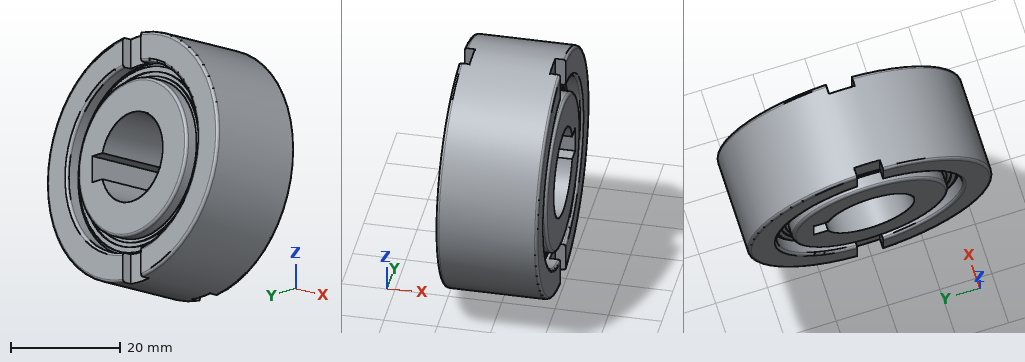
import cadquery as cq

width = 19.0
outer_radius = 23.5
edge_radius = 0.5

hub_radius = 14.95
bore_radius = 8.5
key_width = 5.0
key_reach = 10.85

recess_outer_radius = 17.9
recess_depth = 2.55
shield_outer_radius = 17.45
groove_outer_radius = 16.4
groove_inner_radius = 15.55
groove_depth = 0.25

slot_width = 5.0
slot_depth = 1.97

END_SIDES = (-1, 1)


def cylinder(radius):
    """Full-width cylinder centred on the origin."""
    return cq.Workplane("YZ", origin=(-width / 2, 0, 0)).circle(radius).extrude(width)


def annulus(outer, inner, length, side, start_depth=0.0):
    """Ring going inward from start_depth below the chosen end face."""
    start = side * (width / 2 - start_depth)
    return (
        cq.Workplane("YZ", origin=(start, 0, 0))
        .circle(outer)
        .circle(inner)
        .extrude(-side * length)
    )


def ring_body():
    """Solid ring with an annular recess in each end and rounded rims."""
    body = cylinder(outer_radius)
    for side in END_SIDES:
        body = body.cut(annulus(recess_outer_radius, hub_radius, recess_depth, side))
    return body.faces("<X or >X").edges().fillet(edge_radius)


def cut_shield_grooves(body):
    """Two shallow grooves in each shield, leaving a raised ring between them."""
    for side in END_SIDES:
        outer_groove = annulus(recess_outer_radius, shield_outer_radius, groove_depth, side, recess_depth)
        middle_groove = annulus(groove_outer_radius, groove_inner_radius, groove_depth, side, recess_depth)
        body = body.cut(outer_groove).cut(middle_groove)
    return body


def cut_slots(body):
    """Slots at +Z and -Z on both ends, open from the recess to the rim."""
    for side in END_SIDES:
        bar = cq.Workplane("XY").box(slot_depth, slot_width, 2 * outer_radius)
        bar = bar.translate((side * (width - slot_depth) / 2, 0, 0))
        hub_clearance = cylinder(groove_inner_radius)
        body = body.cut(bar.cut(hub_clearance))
    return body


def cut_bore(body):
    """Through bore with a keyway on the +Y side."""
    bore = cylinder(bore_radius)
    keyway = (
        cq.Workplane("XY")
        .box(width, key_reach, key_width)
        .translate((0, key_reach / 2, 0))
    )
    return body.cut(bore).cut(keyway)


result = cut_bore(cut_slots(cut_shield_grooves(ring_body())))